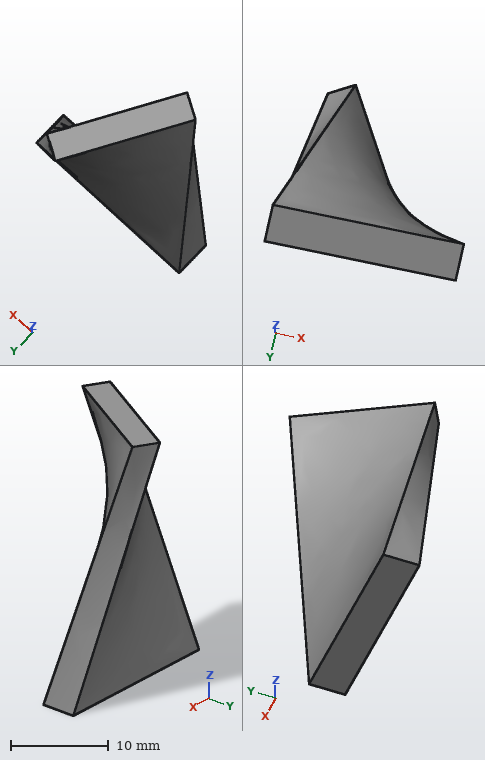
import cadquery as cq

height = 30.0
base_length = height * 2 / 3
base_width = base_length / 5
top_scale = 0.75
twist_angle = 60.0

result = (
    cq.Workplane("XY")
    .rect(base_length, base_width)
    .workplane(offset=height)
    .transformed(rotate=(0, 0, twist_angle))
    .rect(base_length * top_scale, base_width * top_scale)
    .loft(ruled=True, combine=True)
)